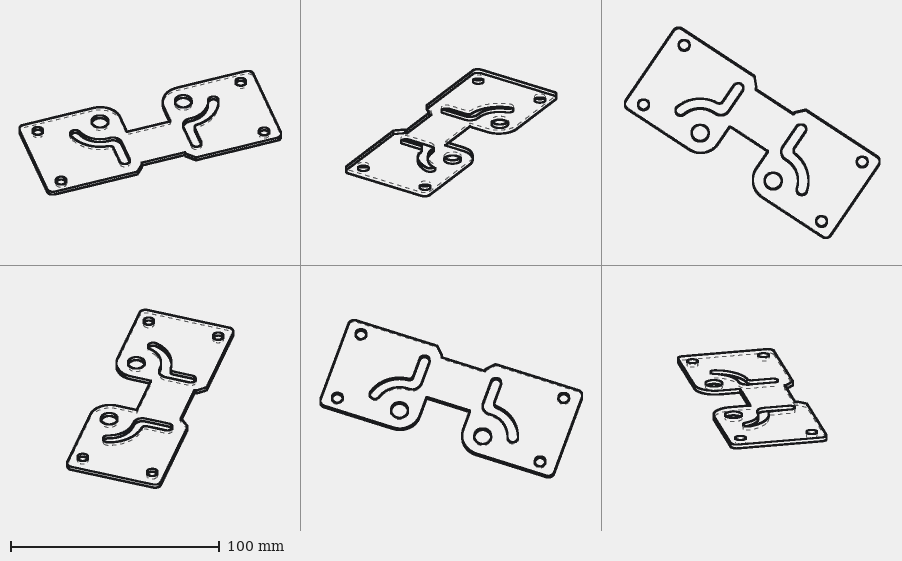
import cadquery as cq
import math

WIDTH = 47.0
LENGTH = 118.1
THICKNESS = 2.0
MIRROR_Y = 0.4
CORNER_RADIUS = 3.0
LOBE_RADIUS = 10.0
HALF_WIDTH = WIDTH / 2
HALF_LENGTH = LENGTH / 2

NECK_LEFT = -3.3
NECK_RIGHT = 18.5
NECK_HALF_LENGTH = 11.0
CHAMFER_X = 4.0
CHAMFER_Y = 3.8

MOUNT_DIAMETER = 5.2
MOUNT_X = 17.5
MOUNT_Y = 51.3
PIVOT_DIAMETER = 8.1
PIVOT_INSET = 9.6
PIVOT_X = PIVOT_INSET - HALF_WIDTH
PIVOT_Y = NECK_HALF_LENGTH + LOBE_RADIUS

SLOT_WIDTH = 5.0
SLOT_ARC_RADIUS = 14.4
SLOT_ARC_ANGLE = math.radians(74)
SLOT_RUN_Y = 18.1
SLOT_RUN_END_X = 14.4
SLOT_OUTER_BEND = 4.5
SLOT_INNER_BEND = 1.9


def polar(center, radius, angle):
    """Point at a given radius and angle (radians) about a center."""
    return (center[0] + radius * math.cos(angle), center[1] + radius * math.sin(angle))


def panel(end_distance):
    """Rounded panel reaching from the neck to end_distance above the mirror line."""
    height = end_distance - NECK_HALF_LENGTH
    body = (
        cq.Workplane("XY")
        .center(0, NECK_HALF_LENGTH + height / 2)
        .rect(WIDTH, height)
        .extrude(THICKNESS)
    )
    body = body.edges("|Z and >Y").fillet(CORNER_RADIUS)
    body = body.edges("|Z and <Y and <X").fillet(LOBE_RADIUS)
    corner = (
        cq.Workplane("XY")
        .moveTo(HALF_WIDTH, NECK_HALF_LENGTH)
        .lineTo(HALF_WIDTH, NECK_HALF_LENGTH + CHAMFER_Y)
        .lineTo(HALF_WIDTH - CHAMFER_X, NECK_HALF_LENGTH)
        .close()
        .extrude(THICKNESS)
    )
    return body.cut(corner)


def guide_slot():
    """Slot with one curved arm about the pivot, one straight arm and rounded ends."""
    pivot = (PIVOT_X, PIVOT_Y)
    half = SLOT_WIDTH / 2
    near = SLOT_ARC_RADIUS - half
    far = SLOT_ARC_RADIUS + half
    run_bottom = SLOT_RUN_Y - half
    run_top = SLOT_RUN_Y + half
    wall_x = PIVOT_X + near

    bend_y = run_top + SLOT_INNER_BEND
    bend_angle = math.asin((bend_y - PIVOT_Y) / (far + SLOT_INNER_BEND))
    bend_center = polar(pivot, far + SLOT_INNER_BEND, bend_angle)
    bend_middle_angle = (math.pi + bend_angle + 1.5 * math.pi) / 2

    outer_center = (wall_x + SLOT_OUTER_BEND, run_bottom + SLOT_OUTER_BEND)
    arc_end = polar(pivot, SLOT_ARC_RADIUS, SLOT_ARC_ANGLE)
    return (
        cq.Workplane("XY")
        .moveTo(wall_x, PIVOT_Y)
        .lineTo(wall_x, outer_center[1])
        .threePointArc(
            polar(outer_center, SLOT_OUTER_BEND, 1.25 * math.pi),
            (outer_center[0], run_bottom),
        )
        .lineTo(SLOT_RUN_END_X, run_bottom)
        .threePointArc((SLOT_RUN_END_X + half, SLOT_RUN_Y), (SLOT_RUN_END_X, run_top))
        .lineTo(bend_center[0], run_top)
        .threePointArc(
            polar(bend_center, SLOT_INNER_BEND, bend_middle_angle),
            polar(pivot, far, bend_angle),
        )
        .threePointArc(
            polar(pivot, far, (bend_angle + SLOT_ARC_ANGLE) / 2),
            polar(pivot, far, SLOT_ARC_ANGLE),
        )
        .threePointArc(
            polar(arc_end, half, SLOT_ARC_ANGLE + math.pi / 2),
            polar(pivot, near, SLOT_ARC_ANGLE),
        )
        .threePointArc(polar(pivot, near, SLOT_ARC_ANGLE / 2), (wall_x, PIVOT_Y))
        .close()
        .extrude(THICKNESS)
    )


def openings():
    """Every through opening of one panel, as a solid to cut away."""
    mounts = (
        cq.Workplane("XY")
        .pushPoints([(-MOUNT_X, MOUNT_Y), (MOUNT_X, MOUNT_Y)])
        .circle(MOUNT_DIAMETER / 2)
        .extrude(THICKNESS)
    )
    pivot = (
        cq.Workplane("XY")
        .center(PIVOT_X, PIVOT_Y)
        .circle(PIVOT_DIAMETER / 2)
        .extrude(THICKNESS)
    )
    return mounts.union(pivot).union(guide_slot())


neck = (
    cq.Workplane("XY")
    .center((NECK_LEFT + NECK_RIGHT) / 2, 0)
    .rect(NECK_RIGHT - NECK_LEFT, 2 * NECK_HALF_LENGTH)
    .extrude(THICKNESS)
)
upper = panel(HALF_LENGTH - MIRROR_Y).cut(openings())
lower = panel(HALF_LENGTH + MIRROR_Y).cut(openings()).mirror("XZ")

result = neck.union(upper).union(lower).translate((0, MIRROR_Y, -THICKNESS / 2))